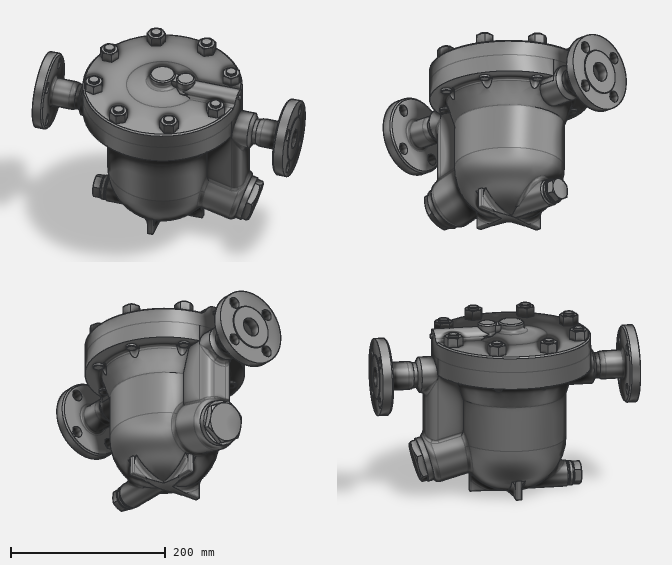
import cadquery as cq
import math

EMBED = 5.0
SEAM_MARGIN = 1.0

BOWL_RADIUS = 71.0
CONE_BASE_Z = 130.0
CONE_TOP_RADIUS = 81.0
CONE_TOP_Z = 160.0
FLANGE_RADIUS = 103.0
FLANGE_BOTTOM_Z = 164.5
PARTING_Z = 187.0
COVER_TOP_Z = 207.6
COVER_CHAMFER = 2.0

STUD_COUNT = 8
STUD_CIRCLE_RADIUS = 89.0
STUD_FIRST_ANGLE = -22.5
STUD_DIAMETER = 14.0
STUD_CHAMFER = 0.8
STUD_BOTTOM_Z = 161.0
NUT_HEIGHT = 12.6
NUT_FLATS = 21.0
STUD_PROTRUSION = 3.0
SPOTFACE_DIAMETER = 21.0

DOME_RADIUS = 46.7
DOME_SHOULDER_RADIUS = 21.3
DOME_SHOULDER_Z = 213.6
CAP_RADIUS = 16.5
CAP_NECK_Z = 219.8
CAP_CHAMFER = 1.7
TOP_Z = 225.6
KNOB_X = 31.3
KNOB_RADIUS = 12.0
KNOB_FOOT_RADIUS = 15.7
BRIDGE_WIDTH = 15.4
BRIDGE_TOP_Z = 223.0
PIPE_RADIUS = 15.0
PIPE_TOP_Z = 220.2
PIPE_FILLET = 5.7
PIN_RADIUS = 3.0
PIN_END_X = 106.2
PIN_Z = 211.0

NOZZLE_Z = 160.0
BOSS_RADIUS = 23.0
BOSS_CONE_LENGTH = 4.2
NECK_RADIUS = 16.4
NECK_LENGTH = 5.1
STUB_RADIUS = 18.2
STUB_ROUND = 7.0
STUB_FILLET = 3.6
PIPE_FLANGE_RADIUS = 50.0
PIPE_FLANGE_CHAMFER = 2.0
BORE_DIAMETER = 25.0
BORE_DEPTH = 14.0
BOLT_HOLE_COUNT = 4
BOLT_HOLE_FIRST_ANGLE = 45.0
BOLT_HOLE_DIAMETER = 15.0
BOLT_CIRCLE_DIAMETER = 75.0
RAISED_FACE_RADIUS = 29.0
RAISED_FACE_HEIGHT = 0.8
INLET_BOSS_END = 105.0
INLET_FLANGE_BACK = 147.5
INLET_FACE = 161.7
OUTLET_BOSS_END = 121.0
OUTLET_FLANGE_BACK = 163.3
OUTLET_FACE = 178.3
SHELF_END = 100.5
SHELF_BOTTOM_Z = 158.0

DUCT_END_X = 114.0
DUCT_CORNER = 13.5
DUCT_BOTTOM_Z = 55.0
DUCT_TO_BOSS_FILLET = 6.5

HOLDER_TILT = 15.0
HOLDER_END_X = 126.2
HOLDER_END_Z = 42.8
HOLDER_RADIUS = 33.8
HOLDER_ROUND = 8.0
HOLDER_LENGTH = 90.0
COLLAR_RADIUS = 29.0
COLLAR_START = 16.0
HOLDER_PLUG_FLATS = 49.5
HOLDER_PLUG_HEIGHT = 9.0
HOLDER_FILLET = 6.0

DRAIN_RADIUS = 17.0
DRAIN_BOSS_END = 73.7
DRAIN_CHAMFER = 2.0
DRAIN_NECK_RADIUS = 15.0
DRAIN_RING_RADIUS = 16.0
DRAIN_RING_START = 75.0
DRAIN_RING_END = 79.0
DRAIN_PLUG_START = 81.0
DRAIN_PLUG_END = 90.6
DRAIN_PLUG_FLATS = 27.0
DRAIN_FILLET = 5.0
DRAIN_FILLET_BOTTOM_Z = 6.0

FOOT_THICKNESS = 8.0
FOOT_REACH = 55.0
FOOT_HEIGHT = 27.0
FOOT_EDGE_ROUND = 1.5
FOOT_FILLET = 8.0
FOOT_FILLET_DIP = 0.3

ARC_MIDDLE = math.cos(math.radians(45))


def revolve_about_z(points):
    """Solid of revolution about Z from a closed outline of (radius, z) points."""
    return cq.Workplane("XZ").polyline(points).close().revolve(360, (0, 0, 0), (0, 1, 0))


def hex_prism(flats, height):
    """Hexagonal prism on Z = 0 with its upper corners turned off."""
    across_corners = flats / math.cos(math.radians(30))
    prism = cq.Workplane("XY").polygon(6, across_corners).extrude(height)
    turned_height = (across_corners - flats) / 2 * math.tan(math.radians(30))
    turned = revolve_about_z([
        (0, 0),
        (across_corners / 2, 0),
        (across_corners / 2, height - turned_height),
        (flats / 2, height),
        (0, height),
    ])
    return prism.intersect(turned)


def bowl():
    """Round-bottomed bowl, flaring out to a fillet under the flange."""
    fillet_radius = FLANGE_BOTTOM_Z - CONE_TOP_Z
    bend = fillet_radius * (1 - ARC_MIDDLE)
    return (
        cq.Workplane("XZ")
        .moveTo(0, 0)
        .threePointArc(
            (BOWL_RADIUS * ARC_MIDDLE, BOWL_RADIUS * (1 - ARC_MIDDLE)),
            (BOWL_RADIUS, BOWL_RADIUS),
        )
        .lineTo(BOWL_RADIUS, CONE_BASE_Z)
        .lineTo(CONE_TOP_RADIUS, CONE_TOP_Z)
        .threePointArc(
            (CONE_TOP_RADIUS + bend, FLANGE_BOTTOM_Z - bend),
            (CONE_TOP_RADIUS + fillet_radius, FLANGE_BOTTOM_Z),
        )
        .lineTo(CONE_TOP_RADIUS + fillet_radius, PARTING_Z)
        .lineTo(0, PARTING_Z)
        .close()
        .revolve(360, (0, 0, 0), (0, 1, 0))
    )


def foot_fillet():
    """Concave fillet ring between the spherical bowl end and both sides of a plate in the XZ plane."""
    half_plate = FOOT_THICKNESS / 2
    centre_y = half_plate + FOOT_FILLET
    centre_distance = BOWL_RADIUS + FOOT_FILLET - FOOT_FILLET_DIP
    ring_radius = math.sqrt(centre_distance ** 2 - centre_y ** 2)
    sunk_radius = BOWL_RADIUS - FOOT_FILLET_DIP
    sunk_y = centre_y * sunk_radius / centre_distance
    sunk_ring_radius = ring_radius * sunk_radius / centre_distance
    start_angle = math.radians(270)
    end_angle = math.radians(180) + math.atan2(centre_y, ring_radius)
    middle = (start_angle + end_angle) / 2
    middle_radius = ring_radius + FOOT_FILLET * math.cos(middle)
    middle_y = centre_y + FOOT_FILLET * math.sin(middle)
    inner_radius = sunk_ring_radius - EMBED
    half_ring = (
        cq.Workplane("XY")
        .moveTo(inner_radius, 0)
        .lineTo(ring_radius, 0)
        .lineTo(ring_radius, half_plate)
        .threePointArc((middle_radius, middle_y), (sunk_ring_radius, sunk_y))
        .lineTo(inner_radius, sunk_y)
        .close()
        .revolve(360, (0, 0, 0), (0, 1, 0))
    )
    ring = half_ring.union(half_ring.mirror("XZ"))
    return ring.translate((0, 0, BOWL_RADIUS))


def foot():
    """One foot along +X, blended into the bowl."""
    plate = (
        cq.Workplane("XY")
        .box(FOOT_REACH, FOOT_THICKNESS, FOOT_HEIGHT, centered=(False, True, False))
        .edges(">X or <Z")
        .fillet(FOOT_EDGE_ROUND)
    )
    reach = cq.Workplane("XY").box(
        FOOT_REACH - FOOT_EDGE_ROUND, 2 * BOWL_RADIUS, FOOT_HEIGHT, centered=(False, True, False)
    )
    return plate.union(foot_fillet().intersect(reach))


def feet():
    """Three feet, along +X, -Y and +Y."""
    forward = foot()
    feet_together = forward
    for turn in (-90, 90):
        feet_together = feet_together.union(forward.rotate((0, 0, 0), (0, 0, 1), turn))
    return feet_together


def drain_boss():
    return (
        cq.Workplane("YZ", origin=(-DRAIN_BOSS_END, 0, DRAIN_RADIUS))
        .circle(DRAIN_RADIUS)
        .extrude(DRAIN_BOSS_END)
        .faces("<X")
        .chamfer(DRAIN_CHAMFER)
    )


def blended_drain():
    """Drain boss with the bowl, filleted where they meet above the grazing contact at the bottom."""
    upper = cq.Workplane("XY", origin=(0, 0, DRAIN_FILLET_BOTTOM_Z)).box(
        4 * BOWL_RADIUS, 4 * BOWL_RADIUS, BOWL_RADIUS, centered=(True, True, False)
    )
    joined = bowl().union(drain_boss())
    filleted = joined.intersect(upper).edges("%BSPLINE").fillet(DRAIN_FILLET)
    return drain_boss().union(filleted)


def drain_plug():
    neck = revolve_about_z([
        (0, DRAIN_BOSS_END - EMBED),
        (DRAIN_NECK_RADIUS, DRAIN_BOSS_END - EMBED),
        (DRAIN_NECK_RADIUS, DRAIN_RING_START),
        (DRAIN_RING_RADIUS, DRAIN_RING_START),
        (DRAIN_RING_RADIUS, DRAIN_RING_END),
        (DRAIN_NECK_RADIUS, DRAIN_RING_END),
        (DRAIN_NECK_RADIUS, DRAIN_PLUG_START),
        (0, DRAIN_PLUG_START),
    ])
    head = hex_prism(DRAIN_PLUG_FLATS, DRAIN_PLUG_END - DRAIN_PLUG_START)
    plug = neck.union(head.translate((0, 0, DRAIN_PLUG_START)))
    return plug.rotate((0, 0, 0), (0, 1, 0), -90).translate((0, 0, DRAIN_RADIUS))


def place_on_holder_axis(solid):
    """Lay a solid made along +Z onto the holder axis, Z = 0 landing on the plug's outer face."""
    return solid.rotate((0, 0, 0), (0, 1, 0), 90 + HOLDER_TILT).translate((HOLDER_END_X, 0, HOLDER_END_Z))


def holder_boss():
    boss = (
        cq.Workplane("XY", origin=(0, 0, -HOLDER_LENGTH))
        .circle(HOLDER_RADIUS)
        .extrude(HOLDER_LENGTH - COLLAR_START)
        .faces(">Z")
        .fillet(HOLDER_ROUND)
    )
    return place_on_holder_axis(boss)


def holder_plug():
    collar = (
        cq.Workplane("XY", origin=(0, 0, -COLLAR_START - EMBED))
        .circle(COLLAR_RADIUS)
        .extrude(COLLAR_START + EMBED - HOLDER_PLUG_HEIGHT)
    )
    head = hex_prism(HOLDER_PLUG_FLATS, HOLDER_PLUG_HEIGHT).translate((0, 0, -HOLDER_PLUG_HEIGHT))
    return place_on_holder_axis(collar.union(head))


def duct():
    return (
        cq.Workplane("XY", origin=(0, 0, DUCT_BOTTOM_Z))
        .rect(DUCT_END_X, 2 * BOSS_RADIUS)
        .extrude(NOZZLE_Z - DUCT_BOTTOM_Z)
        .translate((DUCT_END_X / 2, 0, 0))
        .edges("|Z and >X")
        .fillet(DUCT_CORNER)
    )


def bowl_with_holder():
    """Bowl with the outlet duct and the screen holder, filleted where the holder meets them."""
    joined = bowl().union(duct()).union(holder_boss())
    bowl_seam = cq.selectors.BoxSelector(
        (BOWL_RADIUS / 2, -BOWL_RADIUS, HOLDER_RADIUS / 2),
        (SHELF_END, BOWL_RADIUS, BOWL_RADIUS + HOLDER_RADIUS / 2),
    )
    duct_seam = cq.selectors.BoxSelector(
        (SHELF_END, -BOWL_RADIUS, BOWL_RADIUS),
        (HOLDER_END_X, BOWL_RADIUS, BOWL_RADIUS + HOLDER_RADIUS / 2),
    )
    return joined.edges(bowl_seam + duct_seam).fillet(HOLDER_FILLET)


def body_flange():
    return (
        cq.Workplane("XY", origin=(0, 0, FLANGE_BOTTOM_Z))
        .circle(FLANGE_RADIUS)
        .extrude(PARTING_Z - FLANGE_BOTTOM_Z)
    )


def shelf():
    """Flat-sided web that joins a nozzle boss to the flange above it; made on the +X side."""
    return cq.Workplane("XY", origin=(0, 0, SHELF_BOTTOM_Z)).box(
        SHELF_END, 2 * BOSS_RADIUS, PARTING_Z - SHELF_BOTTOM_Z, centered=(False, True, False)
    )


def nozzle(boss_end, flange_back, end_face):
    """Boss, neck, pipe stub and pipe flange along +X from the bowl axis, centred on X."""
    neck_start = boss_end + BOSS_CONE_LENGTH
    neck_end = neck_start + NECK_LENGTH
    flange_face = end_face - RAISED_FACE_HEIGHT
    bend = STUB_FILLET * (1 - ARC_MIDDLE)
    stub = (
        cq.Workplane("XZ")
        .moveTo(0, 0)
        .lineTo(0, BOSS_RADIUS)
        .lineTo(boss_end, BOSS_RADIUS)
        .lineTo(neck_start, NECK_RADIUS)
        .lineTo(neck_end, NECK_RADIUS)
        .spline([(neck_end + STUB_ROUND, STUB_RADIUS)], tangents=[(1, 1), (1, 0)], includeCurrent=True)
        .lineTo(flange_back - STUB_FILLET, STUB_RADIUS)
        .threePointArc(
            (flange_back - bend, STUB_RADIUS + bend),
            (flange_back, STUB_RADIUS + STUB_FILLET),
        )
        .lineTo(flange_back, PIPE_FLANGE_RADIUS - PIPE_FLANGE_CHAMFER)
        .lineTo(flange_back + PIPE_FLANGE_CHAMFER, PIPE_FLANGE_RADIUS)
        .lineTo(flange_face, PIPE_FLANGE_RADIUS)
        .lineTo(flange_face, RAISED_FACE_RADIUS)
        .lineTo(end_face, RAISED_FACE_RADIUS - RAISED_FACE_HEIGHT)
        .lineTo(end_face, 0)
        .close()
        .revolve(360, (0, 0, 0), (1, 0, 0))
    )
    bolt_holes = (
        cq.Workplane("YZ", origin=(flange_back - EMBED, 0, 0))
        .polarArray(BOLT_CIRCLE_DIAMETER / 2, BOLT_HOLE_FIRST_ANGLE, 360, BOLT_HOLE_COUNT)
        .circle(BOLT_HOLE_DIAMETER / 2)
        .extrude(end_face - flange_back + 2 * EMBED)
    )
    return stub.cut(bolt_holes)


def bore(end_face):
    return (
        cq.Workplane("YZ", origin=(end_face - BORE_DEPTH, 0, NOZZLE_Z))
        .circle(BORE_DIAMETER / 2)
        .extrude(BORE_DEPTH)
    )


def mirrored_to_inlet(solid):
    return solid.mirror("YZ")


def inlet_nozzle():
    pipe = nozzle(INLET_BOSS_END, INLET_FLANGE_BACK, INLET_FACE).translate((0, 0, NOZZLE_Z))
    return mirrored_to_inlet(pipe)


def outlet_nozzle():
    return nozzle(OUTLET_BOSS_END, OUTLET_FLANGE_BACK, OUTLET_FACE).translate((0, 0, NOZZLE_Z))


def fillet_under_outlet_boss(solid):
    """Fillet the seam where the outlet boss overhangs the end of the duct."""
    overhang = cq.selectors.BoxSelector(
        (DUCT_END_X - DUCT_CORNER, -BOSS_RADIUS, NOZZLE_Z - BOSS_RADIUS - EMBED),
        (DUCT_END_X + SEAM_MARGIN, BOSS_RADIUS, NOZZLE_Z - SEAM_MARGIN),
    )
    return solid.edges(overhang).fillet(DUCT_TO_BOSS_FILLET)


def at_stud_positions(solid):
    """Copies of a solid around the stud circle, each turned with its own position."""
    copies = cq.Workplane("XY")
    for index in range(STUD_COUNT):
        turn = STUD_FIRST_ANGLE + index * 360 / STUD_COUNT
        unturned = solid.rotate((0, 0, 0), (0, 0, 1), -STUD_FIRST_ANGLE)
        copy = unturned.translate((STUD_CIRCLE_RADIUS, 0, 0)).rotate((0, 0, 0), (0, 0, 1), turn)
        copies = copies.add(copy)
    return copies.combine()


def stud_with_nut():
    stud_top = COVER_TOP_Z + NUT_HEIGHT + STUD_PROTRUSION
    stud = (
        cq.Workplane("XY", origin=(0, 0, STUD_BOTTOM_Z))
        .circle(STUD_DIAMETER / 2)
        .extrude(stud_top - STUD_BOTTOM_Z)
        .faces(">Z or <Z")
        .chamfer(STUD_CHAMFER)
    )
    nut = hex_prism(NUT_FLATS, NUT_HEIGHT).translate((0, 0, COVER_TOP_Z))
    return stud.union(nut)


def spotface():
    return (
        cq.Workplane("XY", origin=(0, 0, CONE_BASE_Z))
        .circle(SPOTFACE_DIAMETER / 2)
        .extrude(FLANGE_BOTTOM_Z - CONE_BASE_Z)
    )


def cover_plate():
    return (
        cq.Workplane("XY", origin=(0, 0, PARTING_Z))
        .circle(FLANGE_RADIUS)
        .extrude(COVER_TOP_Z - PARTING_Z)
        .faces(">Z")
        .chamfer(COVER_CHAMFER)
    )


def flared_post(foot_radius, radius, foot_z, flare_top_z):
    """Round post about Z with a concave flare at its foot and a chamfered top."""
    flare_width = foot_radius - radius
    flare_height = flare_top_z - foot_z
    bend = 1 - ARC_MIDDLE
    return (
        cq.Workplane("XZ")
        .moveTo(0, PARTING_Z)
        .lineTo(foot_radius, PARTING_Z)
        .lineTo(foot_radius, foot_z)
        .threePointArc(
            (radius + flare_width * bend, foot_z + flare_height * bend),
            (radius, flare_top_z),
        )
        .lineTo(radius, TOP_Z - CAP_CHAMFER)
        .lineTo(radius - CAP_CHAMFER, TOP_Z)
        .lineTo(0, TOP_Z)
        .close()
        .revolve(360, (0, 0, 0), (0, 1, 0))
    )


def dome():
    cone = revolve_about_z([
        (0, PARTING_Z),
        (DOME_RADIUS, PARTING_Z),
        (DOME_RADIUS, COVER_TOP_Z),
        (DOME_SHOULDER_RADIUS, DOME_SHOULDER_Z),
        (0, DOME_SHOULDER_Z),
    ])
    return cone.union(flared_post(DOME_SHOULDER_RADIUS, CAP_RADIUS, DOME_SHOULDER_Z, CAP_NECK_Z))


def knob():
    """Knob over the start of the outlet pipe, with a bridge to the dome cap."""
    foot_z = DOME_SHOULDER_Z - EMBED / 2
    post = flared_post(KNOB_FOOT_RADIUS, KNOB_RADIUS, foot_z, foot_z + EMBED)
    bridge = cq.Workplane("XY", origin=(0, 0, PARTING_Z)).box(
        KNOB_X, BRIDGE_WIDTH, BRIDGE_TOP_Z - PARTING_Z, centered=(False, True, False)
    )
    return post.translate((KNOB_X, 0, 0)).union(bridge)


def outlet_pipe():
    """Half-sunk pipe on the cover with flared sides, ending flush with the cover's rim."""
    axis_z = PIPE_TOP_Z - PIPE_RADIUS
    fillet_z = COVER_TOP_Z + PIPE_FILLET
    centre_distance = PIPE_RADIUS + PIPE_FILLET
    fillet_y = math.sqrt(centre_distance ** 2 - (fillet_z - axis_z) ** 2)
    tangent_y = fillet_y * PIPE_RADIUS / centre_distance
    tangent_z = axis_z + (fillet_z - axis_z) * PIPE_RADIUS / centre_distance
    lean = math.atan2(fillet_z - axis_z, fillet_y)
    middle = (lean + math.radians(90)) / 2
    middle_y = fillet_y - PIPE_FILLET * math.cos(middle)
    middle_z = fillet_z - PIPE_FILLET * math.sin(middle)
    pipe = (
        cq.Workplane("YZ", origin=(KNOB_X, 0, 0))
        .moveTo(-fillet_y, PARTING_Z)
        .lineTo(-fillet_y, COVER_TOP_Z)
        .threePointArc((-middle_y, middle_z), (-tangent_y, tangent_z))
        .threePointArc((0, PIPE_TOP_Z), (tangent_y, tangent_z))
        .threePointArc((middle_y, middle_z), (fillet_y, COVER_TOP_Z))
        .lineTo(fillet_y, PARTING_Z)
        .close()
        .extrude(FLANGE_RADIUS)
    )
    rim = cq.Workplane("XY", origin=(0, 0, PARTING_Z)).circle(FLANGE_RADIUS).extrude(TOP_Z - PARTING_Z)
    return pipe.intersect(rim.rotate((0, 0, 0), (0, 0, 1), 180))


def pipe_end_pin():
    return (
        cq.Workplane("YZ", origin=(FLANGE_RADIUS - EMBED, 0, PIN_Z))
        .circle(PIN_RADIUS)
        .extrude(PIN_END_X - FLANGE_RADIUS + EMBED)
        .faces(">X")
        .fillet(PIN_RADIUS / 2)
    )


body = bowl_with_holder().union(blended_drain())
body = body.union(feet())
body = body.union(shelf())
body = body.union(mirrored_to_inlet(shelf()))
body = body.union(inlet_nozzle())
body = body.union(outlet_nozzle())
body = fillet_under_outlet_boss(body)
body = body.cut(at_stud_positions(spotface()))
body = body.union(body_flange())
body = body.union(drain_plug())
body = body.union(holder_plug())
body = body.cut(mirrored_to_inlet(bore(INLET_FACE)))
body = body.cut(bore(OUTLET_FACE))

cover = cover_plate().union(dome()).union(outlet_pipe()).union(knob())
cover = cover.union(pipe_end_pin(), clean=False)

result = body.union(cover, clean=False).union(at_stud_positions(stud_with_nut()), clean=False)